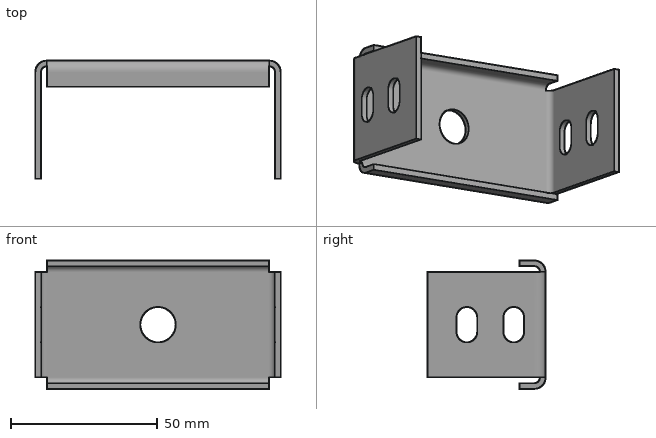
import cadquery as cq

length = 84.0
depth = 40.5
height = 44.0

thickness = 2.0
bend_radius = 3.95
inner_radius = bend_radius - thickness
web_length = length - 2 * bend_radius
web_height = height - 2 * bend_radius
lip_depth = 9.0

hole_diameter = 12.0
slot_width = 7.0
slot_height = 12.0
first_slot_offset = 10.9
slot_pitch = 16.05



def folded_flange(workplane, half_span, reach, width):
    """Bend and straight flange, extruded symmetrically across its width."""
    bend_start = half_span - bend_radius
    inner_face = half_span - thickness
    return (
        workplane.moveTo(bend_start, 0)
        .radiusArc((half_span, -bend_radius), bend_radius)
        .lineTo(half_span, -reach)
        .lineTo(inner_face, -reach)
        .lineTo(inner_face, -bend_radius)
        .radiusArc((bend_start, -thickness), -inner_radius)
        .close()
        .extrude(width / 2, both=True)
    )


result = cq.Workplane("XY").box(web_length, thickness, web_height).translate((0, -thickness / 2, 0))

side_flange = folded_flange(cq.Workplane("XY"), length / 2, depth, web_height)
lip_plane = cq.Plane(origin=(0, 0, 0), xDir=(0, 0, 1), normal=(-1, 0, 0))
lip = folded_flange(cq.Workplane(lip_plane), height / 2, lip_depth, web_length)
result = result.union(side_flange).union(side_flange.mirror("YZ"))
result = result.union(lip).union(lip.mirror("XY"))

hole = cq.Workplane("XZ").circle(hole_diameter / 2).extrude(thickness)
result = result.cut(hole)

slot_centers = [(-first_slot_offset - i * slot_pitch, 0) for i in range(2)]
slots = (
    cq.Workplane("YZ")
    .pushPoints(slot_centers)
    .slot2D(slot_height, slot_width, 90)
    .extrude(length / 2, both=True)
)
result = result.cut(slots)